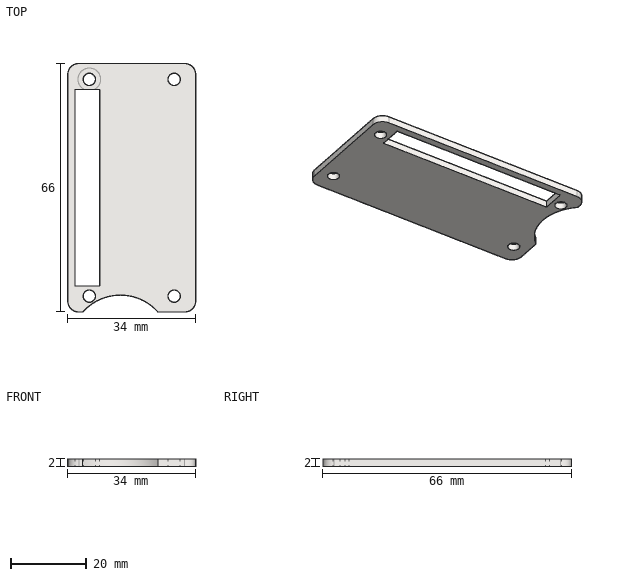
import cadquery as cq

plate_width = 34.0
plate_length = 66.0
plate_thickness = 2.0
corner_radius = 3.0

hole_diameter = 3.2
hole_spacing_x = 22.5
hole_spacing_y = 57.5

seat_diameter = 6.0
washer_thickness = 1.0

slot_width = 6.5
slot_length = 52.0
slot_edge_margin = 2.0

notch_center_x = -3.0
notch_chord = 20.0
notch_depth = 4.5


def make_plate():
    plate = cq.Workplane("XY").box(
        plate_width, plate_length, plate_thickness, centered=(True, True, False)
    )
    return plate.edges("|Z").fillet(corner_radius)


def cut_screw_holes(part):
    top = part.faces(">Z").workplane(origin=(0, 0, plate_thickness))
    return top.rect(hole_spacing_x, hole_spacing_y, forConstruction=True).vertices().hole(hole_diameter)


def mark_seat(part):
    washer = (
        cq.Workplane("XY", origin=(-hole_spacing_x / 2, hole_spacing_y / 2, plate_thickness))
        .circle(seat_diameter / 2)
        .extrude(washer_thickness)
    )
    return part.cut(washer, clean=False)


def cut_slot(part):
    slot_center_x = -plate_width / 2 + slot_edge_margin + slot_width / 2
    slot = (
        cq.Workplane("XY")
        .center(slot_center_x, 0)
        .rect(slot_width, slot_length)
        .extrude(plate_thickness)
    )
    return part.cut(slot, clean=False)


def cut_notch(part):
    notch_radius = ((notch_chord / 2) ** 2 + notch_depth**2) / (2 * notch_depth)
    notch_center_y = -plate_length / 2 + notch_depth - notch_radius
    notch = (
        cq.Workplane("XY")
        .center(notch_center_x, notch_center_y)
        .circle(notch_radius)
        .extrude(plate_thickness)
    )
    return part.cut(notch, clean=False)


part = make_plate()
part = cut_screw_holes(part)
part = mark_seat(part)
part = cut_slot(part)
result = cut_notch(part)